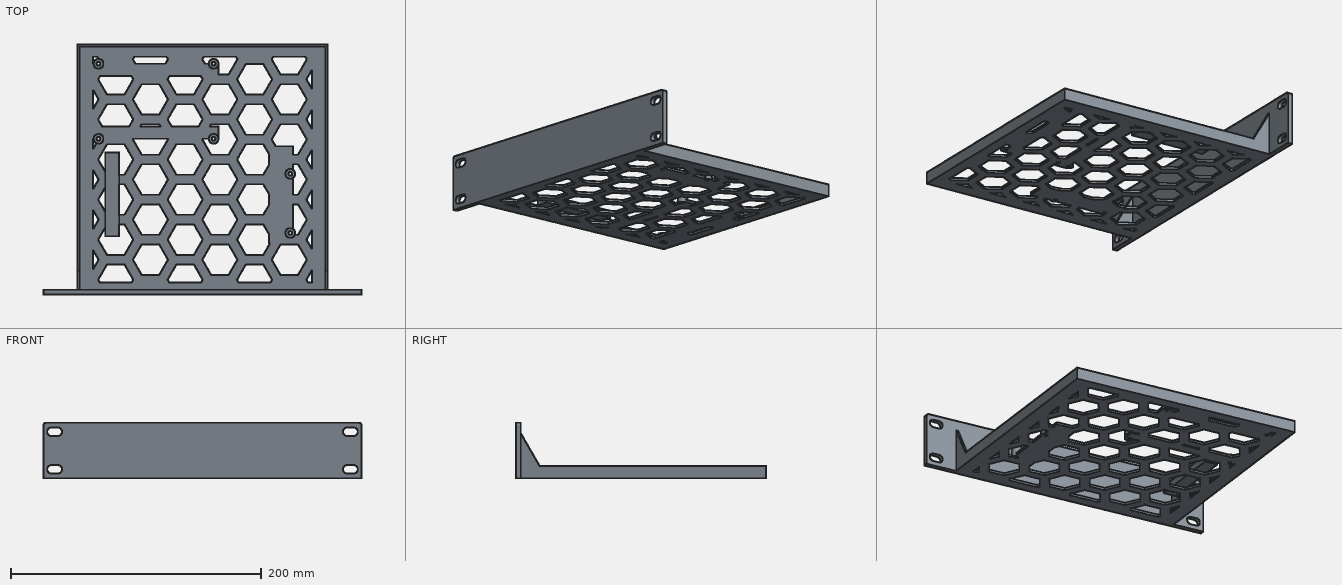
import cadquery as cq
import math

panel_width = 254.0
panel_height = 44.5
panel_thickness = 4.0
panel_corner_radius = 2.0

slot_length = 11.7
slot_height = 6.5
slot_spacing_x = 236.2
slot_spacing_z = 30.0

tray_width = 200.0
tray_back_y = 200.0
floor_thickness = 2.0
wall_thickness = 2.0
wall_height = 10.0
gusset_length = 15.0
gusset_height = gusset_length * math.tan(math.radians(60))

window_width = 174.8
window_border_y = 10.0
hex_across_flats = 24.1
hex_pitch = 32.0
hex_columns = 8
hex_rows = 7

standoff_diameter = 8.0
standoff_hole_diameter = 2.8
left_standoff_height = 3.8
left_standoff_xs = (-83.0, 9.0)
left_standoff_ys = (124.5, 184.5)
right_standoff_height = 7.0
right_standoff_x = 70.0
right_standoff_ys = (49.3, 96.5)

strip_width = 10.0
right_pad_x = (53.0, 72.5)
right_pad_y = (41.0, 118.5)

bar_x = (-77.7, -66.5)
bar_y = (46.5, 113.5)
bar_height = 6.0


def block(x_range, y_range, z_range):
    """Box spanning the given (low, high) ranges."""
    (x0, x1), (y0, y1), (z0, z1) = x_range, y_range, z_range
    return cq.Workplane("XY").box(x1 - x0, y1 - y0, z1 - z0, centered=False).translate((x0, y0, z0))


def make_panel():
    """Face plate with rounded top corners and four mounting slots."""
    half_width = panel_width / 2
    plate = block((-half_width, half_width), (0, panel_thickness), (0, panel_height))
    plate = plate.edges("|Y and >Z").fillet(panel_corner_radius)
    slots = (
        cq.Workplane("XZ", origin=(0, 0, panel_height / 2))
        .rarray(slot_spacing_x, slot_spacing_z, 2, 2)
        .slot2D(slot_length, slot_height)
        .extrude(-panel_thickness)
    )
    return plate.cut(slots)


def make_side_wall(x_low):
    """Side wall that rises in a sloping gusset to meet the panel."""
    return (
        cq.Workplane("YZ", origin=(x_low, 0, 0))
        .moveTo(panel_thickness, 0)
        .lineTo(tray_back_y, 0)
        .lineTo(tray_back_y, wall_height)
        .lineTo(panel_thickness + gusset_length, wall_height)
        .lineTo(panel_thickness, wall_height + gusset_height)
        .close()
        .extrude(wall_thickness)
    )


def make_pads():
    """Areas of the floor kept solid: two strips on the left and one pad on the right."""
    floor_z = (0, floor_thickness)
    strip_x = (-tray_width / 2, left_standoff_xs[1] + standoff_diameter / 2)
    front_y, back_y = left_standoff_ys
    front_strip = block(strip_x, (front_y, front_y + strip_width), floor_z)
    back_strip = block(strip_x, (back_y - strip_width, back_y), floor_z)
    right_pad = block(right_pad_x, right_pad_y, floor_z)
    return front_strip.union(back_strip).union(right_pad)


def make_grille_cutter():
    """Staggered hexagons trimmed to the window, without the solid pads."""
    column_pitch = hex_pitch * math.cos(math.radians(30))
    centres = []
    for column in range(hex_columns):
        stagger = -hex_pitch / 4 if column % 2 == 0 else hex_pitch / 4
        for row in range(hex_rows):
            x = (column - (hex_columns - 1) / 2) * column_pitch
            y = (row - (hex_rows - 1) / 2) * hex_pitch + stagger
            centres.append((x, y))
    across_corners = hex_across_flats / math.cos(math.radians(30))
    hexagons = (
        cq.Workplane("XY", origin=(0, tray_back_y / 2, 0))
        .pushPoints(centres)
        .polygon(6, across_corners)
        .extrude(floor_thickness)
    )
    window = block(
        (-window_width / 2, window_width / 2),
        (window_border_y, tray_back_y - window_border_y),
        (0, floor_thickness),
    )
    return hexagons.intersect(window).cut(make_pads())


def make_tray():
    """Perforated floor with side and back walls."""
    half_width = tray_width / 2
    floor = block((-half_width, half_width), (panel_thickness, tray_back_y), (0, floor_thickness))
    back_wall = block((-half_width, half_width), (tray_back_y - wall_thickness, tray_back_y), (0, wall_height))
    tray = floor.cut(make_grille_cutter()).union(back_wall)
    for x_low in (-half_width, half_width - wall_thickness):
        tray = tray.union(make_side_wall(x_low))
    return tray


def add_standoffs(body, centres, height):
    """Add round posts above the floor and drill them through post and floor."""
    posts = cq.Workplane("XY").pushPoints(centres).circle(standoff_diameter / 2).extrude(floor_thickness + height)
    holes = cq.Workplane("XY").pushPoints(centres).circle(standoff_hole_diameter / 2).extrude(floor_thickness + height)
    return body.union(posts).cut(holes)


bar = block(bar_x, bar_y, (floor_thickness, floor_thickness + bar_height))
left_standoffs = [(x, y) for x in left_standoff_xs for y in left_standoff_ys]
right_standoffs = [(right_standoff_x, y) for y in right_standoff_ys]

result = make_panel().union(make_tray()).union(bar)
result = add_standoffs(result, left_standoffs, left_standoff_height)
result = add_standoffs(result, right_standoffs, right_standoff_height)